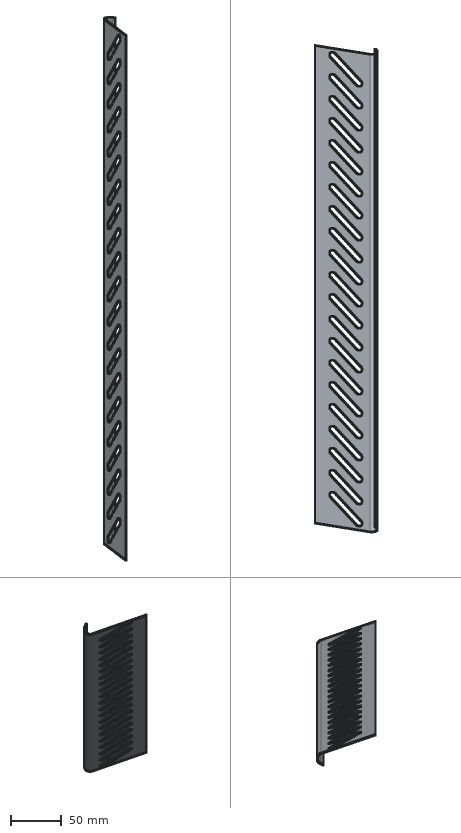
import cadquery as cq
import math

width = 63.0
depth = 12.5
length = 543.0

thickness = 1.0
bend_radius = 6.0
bend_angle = 135.0

slot_count = 21
slot_pitch = 25.0
slot_width = 7.0
slot_length = 45.0
slot_angle = 45.0
slot_center_x = 31.0


def bend_point(radius, angle):
    """Point on the bend, with the angle measured from its tangency with the flat web."""
    turn = math.radians(angle)
    x = bend_radius - radius * math.sin(turn)
    y = bend_radius - radius * math.cos(turn)
    return x, y


def make_profile():
    """J-shaped sheet section: flat web, round bend and a short straight lip."""
    inner_radius = bend_radius - thickness
    outer_end = bend_point(bend_radius, bend_angle)
    inner_end = bend_point(inner_radius, bend_angle)

    turn = math.radians(bend_angle)
    lip_length = (depth - outer_end[1]) / math.sin(turn)
    lip_x = -lip_length * math.cos(turn)
    lip_y = lip_length * math.sin(turn)

    return (
        cq.Workplane("XY")
        .moveTo(width, 0)
        .lineTo(bend_radius, 0)
        .threePointArc(bend_point(bend_radius, bend_angle / 2), outer_end)
        .line(lip_x, lip_y)
        .lineTo(inner_end[0] + lip_x, inner_end[1] + lip_y)
        .lineTo(*inner_end)
        .threePointArc(bend_point(inner_radius, bend_angle / 2), (bend_radius, thickness))
        .lineTo(width, thickness)
        .close()
    )


def make_slots():
    """Column of slanted slots, centred along the length and cut through the web."""
    return (
        cq.Workplane("XZ")
        .center(slot_center_x, length / 2)
        .rarray(1, slot_pitch, 1, slot_count)
        .slot2D(slot_length, slot_width, slot_angle)
        .extrude(-thickness)
    )


result = make_profile().extrude(length).cut(make_slots())